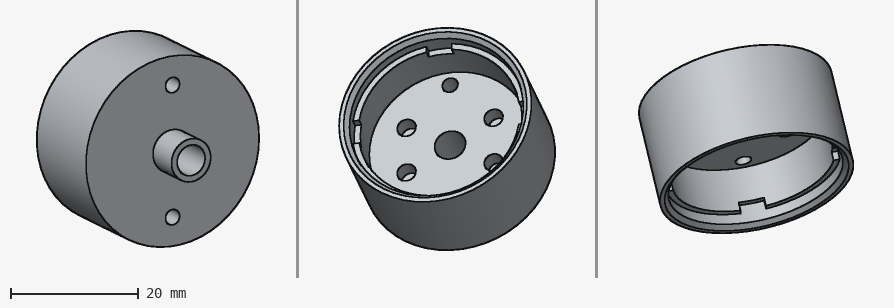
import cadquery as cq

body_diameter = 31.0
body_length = 16.0
shaft_diameter = 7.0
shaft_length = 6.0
shaft_bore_diameter = 5.0

mouth_diameter = 29.5
seat_diameter = 28.0
cavity_diameter = 26.0
taper_depth = (mouth_diameter - seat_diameter) / 2
seat_depth = 2.5
cavity_depth = 10.0

notch_width = 4.05
notch_depth = 1.5

through_hole_diameter = 2.5
through_hole_offset = 10.75
blind_hole_diameter = 3.0
blind_hole_depth = 3.0
blind_hole_spacing_y = 14.0
blind_hole_spacing_z = 8.0


def rod(diameter, start, length):
    """Cylinder centred on the X axis, running from x = start towards +X."""
    return cq.Workplane("YZ", origin=(start, 0, 0)).circle(diameter / 2).extrude(length)


def make_cavity():
    """Main bore, tapered cover seat and the four notches in its ledge, as one solid."""
    notch_floor = seat_depth + notch_depth
    section = cq.Workplane("YZ")
    ledge_blank = section.circle(body_diameter / 2).circle(cavity_diameter / 2)
    ledge = ledge_blank.extrude(notch_depth).translate((seat_depth, 0, 0))
    for width, height in [(body_diameter, notch_width), (notch_width, body_diameter)]:
        ledge = ledge.cut(section.rect(width, height).extrude(notch_floor))

    seat_profile = [
        (0, 0),
        (0, mouth_diameter / 2),
        (taper_depth, seat_diameter / 2),
        (notch_floor, seat_diameter / 2),
        (notch_floor, 0),
    ]
    seat = cq.Workplane("XY").polyline(seat_profile).close().revolve(360, (0, 0, 0), (1, 0, 0))
    return seat.cut(ledge).union(rod(cavity_diameter, seat_depth, cavity_depth - seat_depth))


def make_floor_holes():
    """Two through holes on the Z axis and four blind holes in a rectangle."""
    floor = cq.Workplane("YZ", origin=(cavity_depth, 0, 0))
    through_holes = (
        floor.pushPoints([(0, through_hole_offset), (0, -through_hole_offset)])
        .circle(through_hole_diameter / 2)
        .extrude(body_length - cavity_depth)
    )
    blind_holes = (
        floor.rect(blind_hole_spacing_y, blind_hole_spacing_z, forConstruction=True)
        .vertices()
        .circle(blind_hole_diameter / 2)
        .extrude(blind_hole_depth)
    )
    return through_holes.union(blind_holes)


overall_length = body_length + shaft_length
result = (
    rod(body_diameter, 0, body_length)
    .union(rod(shaft_diameter, 0, overall_length))
    .cut(make_cavity())
    .cut(make_floor_holes())
    .cut(rod(shaft_bore_diameter, 0, overall_length))
)